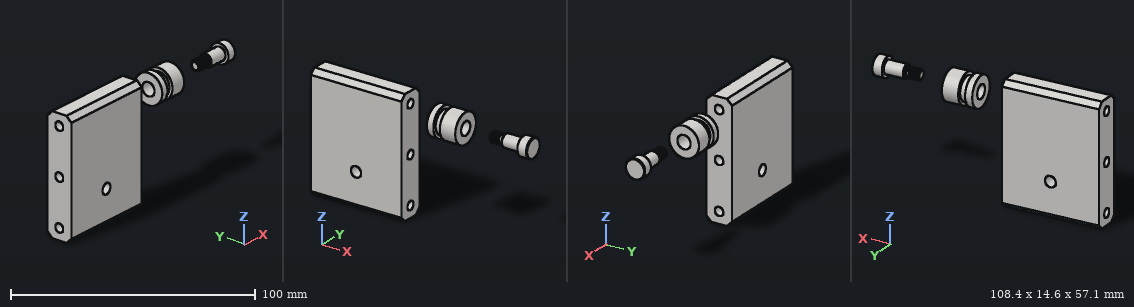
import cadquery as cq

plate_length = 45.9
plate_thickness = 12.7
plate_height = 57.1
plate_chamfer = 2.5
tapped_hole_diameter = 4.1
end_hole_inset = 5.7
cross_hole_diameter = 5.1
cross_hole_height = 17.1

roller_start = 58.9
roller_y = 0.7
roller_z = 47.3
roller_diameter = 14.6
roller_length = 14.4
groove_diameter = 11.4
groove_start = 3.4
groove_width = 3.3
bore_diameter = 6.4

screw_end = 108.4
screw_length = 20.8
screw_y = -0.5
screw_z = 47.9
head_diameter = 9.5
head_length = 4.8
head_chamfer = 0.3
shank_diameter = 6.4
shank_length = 9.3
shank_chamfer = 0.3
root_diameter = 3.8
thread_diameter = 5.0
thread_pitch = 0.8
thread_turns = 5.5
thread_start = 0.5
ridge_base_width = 0.7
ridge_crest_width = 0.16
ridge_embed = 0.1
neck_flare = 0.4


def make_plate():
    block = (
        cq.Workplane("XY")
        .box(plate_length, plate_thickness, plate_height, centered=(False, True, False))
        .edges("|X")
        .chamfer(plate_chamfer)
    )
    hole_heights = (end_hole_inset, plate_height / 2, plate_height - end_hole_inset)
    long_holes = (
        cq.Workplane("YZ")
        .pushPoints([(0, height) for height in hole_heights])
        .circle(tapped_hole_diameter / 2)
        .extrude(plate_length)
    )
    cross_hole = (
        cq.Workplane("XZ")
        .center(plate_length / 2, cross_hole_height)
        .circle(cross_hole_diameter / 2)
        .extrude(plate_thickness / 2, both=True)
    )
    return block.cut(long_holes).cut(cross_hole)


def make_roller():
    body = (
        cq.Workplane("YZ", origin=(roller_start, roller_y, roller_z))
        .circle(roller_diameter / 2)
        .circle(bore_diameter / 2)
        .extrude(roller_length)
    )
    groove = (
        cq.Workplane("YZ", origin=(roller_start + groove_start, roller_y, roller_z))
        .circle(roller_diameter)
        .circle(groove_diameter / 2)
        .extrude(groove_width)
    )
    return body.cut(groove)


def make_thread_ridge():
    """Helical ridge around +Z, its inner side sunk into the root cylinder."""
    inner_radius = root_diameter / 2 - ridge_embed
    helix = cq.Wire.makeHelix(thread_pitch, thread_pitch * thread_turns, inner_radius)
    ridge_profile = [
        (inner_radius, -ridge_base_width / 2),
        (thread_diameter / 2, -ridge_crest_width / 2),
        (thread_diameter / 2, ridge_crest_width / 2),
        (inner_radius, ridge_base_width / 2),
    ]
    ridge = cq.Workplane("XZ").polyline(ridge_profile).close().sweep(cq.Workplane(helix), isFrenet=True)
    return ridge.translate((0, 0, thread_start))


def make_screw():
    """Built upright with its tip at the origin, then turned to lie along X."""
    head_bottom = screw_length - head_length
    shank_bottom = head_bottom - shank_length
    outline = [
        (0, 0),
        (root_diameter / 2, 0),
        (root_diameter / 2, shank_bottom - neck_flare),
        (root_diameter / 2 + neck_flare, shank_bottom),
        (shank_diameter / 2 - shank_chamfer, shank_bottom),
        (shank_diameter / 2, shank_bottom + shank_chamfer),
        (shank_diameter / 2, head_bottom),
        (head_diameter / 2, head_bottom),
        (head_diameter / 2, screw_length - head_chamfer),
        (head_diameter / 2 - head_chamfer, screw_length),
        (0, screw_length),
    ]
    core = cq.Workplane("XZ").polyline(outline).close().revolve(360, (0, 0, 0), (0, 1, 0))
    screw = core.union(make_thread_ridge())
    lying_screw = screw.rotate((0, 0, 0), (0, 1, 0), 90)
    return lying_screw.translate((screw_end - screw_length, screw_y, screw_z))


plate = make_plate()
roller = make_roller()
screw = make_screw()

result = cq.Compound.makeCompound([plate.solids().val(), roller.solids().val(), screw.solids().val()])